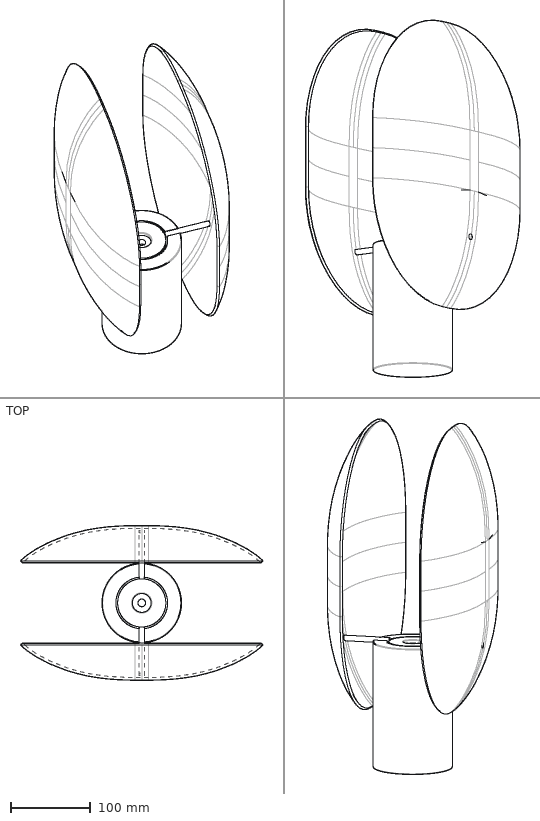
import cadquery as cq
import math

overall_height = 437.5
shade_width = 304.0
overall_depth = 194.0

shade_height = 363.0
shade_thickness = 3.5
crown_width = 17.5
shoulder_reach = 109.5
shoulder_drop = 22.0
rim_drop = 44.0
rim_slope = math.radians(44)

base_radius = 50.0
base_height = 160.0
base_edge_fillet = 1.0
groove_outer_radius = 32.5
groove_inner_radius = 30.0
groove_depth = 2.0
counterbore_radius = 12.0
counterbore_depth = 4.5
counterbore_edge_fillet = 1.0
centre_hole_radius = 5.0
centre_hole_depth = 13.0

rod_radius = 3.5
rod_inner_end = groove_inner_radius
rod_outer_end = 91.0
rod_height = base_height

crown_y = overall_depth / 2
dish_reach = (shade_width - crown_width) / 2
crown_height = shade_height - 2 * dish_reach
shade_middle_z = overall_height - shade_height / 2
shoulder_slope = math.atan(2 * shoulder_drop / shoulder_reach)


def dish_point(reach, drop, slope, inset):
    """Point (reach, y) set in from the outer face, square to the face at that slope."""
    return reach - inset * math.sin(slope), crown_y - drop - inset * math.cos(slope)


def dish_curve(inset):
    """Points from the crown to the rim, at one depth below the outer face."""
    return [
        dish_point(0, 0, 0, inset),
        dish_point(shoulder_reach, shoulder_drop, shoulder_slope, inset),
        dish_point(dish_reach, rim_drop, rim_slope, inset),
    ]


def dish_section(plane):
    """Section of the shell from the crown to the rim, with the rim cut square to the shell."""
    outer = dish_curve(0)
    inner = dish_curve(shade_thickness)
    inner.reverse()
    rim_run = math.cos(rim_slope)
    rim_fall = math.sin(rim_slope)
    return (
        cq.Workplane(plane)
        .moveTo(*outer[0])
        .spline(outer[1:], tangents=[(1, 0), (rim_run, -rim_fall)], includeCurrent=True)
        .lineTo(*inner[0])
        .spline(inner[1:], tangents=[(-rim_run, rim_fall), (-1, 0)], includeCurrent=True)
        .close()
    )


def make_shade_quarter():
    """The +X, +Z quarter of the +Y shade, as a dished corner and the straight runs beside it."""
    half_width = crown_width / 2
    half_height = crown_height / 2
    corner_plane = cq.Plane(origin=(half_width, 0, half_height), xDir=(1, 0, 0), normal=(0, 0, 1))
    upper_plane = cq.Plane(origin=(half_width, 0, half_height), xDir=(0, 0, 1), normal=(-1, 0, 0))

    corner = dish_section(corner_plane).revolve(90, (0, 0, 0), (0, -1, 0))
    side_run = dish_section(corner_plane).extrude(-half_height)
    upper_run = dish_section(upper_plane).extrude(half_width)
    crown = cq.Workplane("XY").box(half_width, shade_thickness, half_height, centered=False)
    crown = crown.translate((0, crown_y - shade_thickness, 0))
    return corner.union(side_run).union(upper_run).union(crown)


def make_rod():
    """The +Y rod."""
    start = cq.Plane(origin=(0, rod_inner_end, rod_height), xDir=(1, 0, 0), normal=(0, 1, 0))
    return cq.Workplane(start).circle(rod_radius).extrude(rod_outer_end - rod_inner_end)


def make_shade(rod):
    """The +Y shade, with the hole that the rod fills."""
    quarter = make_shade_quarter()
    half = quarter.union(quarter.mirror("YZ"))
    shade = half.union(half.mirror("XY"))
    return shade.translate((0, 0, shade_middle_z)).cut(rod)


def make_base(rods):
    drum = cq.Workplane("XY").circle(base_radius).extrude(base_height)
    drum = drum.faces("<Z or >Z").edges().fillet(base_edge_fillet)

    top = cq.Workplane("XY").workplane(offset=base_height)
    counterbore = top.circle(counterbore_radius).extrude(-counterbore_depth)
    drum = drum.cut(counterbore)
    smallest_edge = cq.selectors.RadiusNthSelector(0)
    drum = drum.faces(">Z").edges(smallest_edge).fillet(counterbore_edge_fillet)

    groove = top.circle(groove_outer_radius).circle(groove_inner_radius).extrude(-groove_depth)
    centre_hole = top.circle(centre_hole_radius).extrude(-centre_hole_depth)
    drum = drum.cut(groove).cut(centre_hole)
    for rod in rods:
        drum = drum.cut(rod)
    return drum


rods = []
shades = []
for turn in (0, 180):
    rod = make_rod()
    shade = make_shade(rod)
    rods.append(rod.rotate((0, 0, 0), (0, 0, 1), turn))
    shades.append(shade.rotate((0, 0, 0), (0, 0, 1), turn))

base = make_base(rods)

bodies = [base] + rods + shades
result = cq.Compound.makeCompound([body.solids().val() for body in bodies])